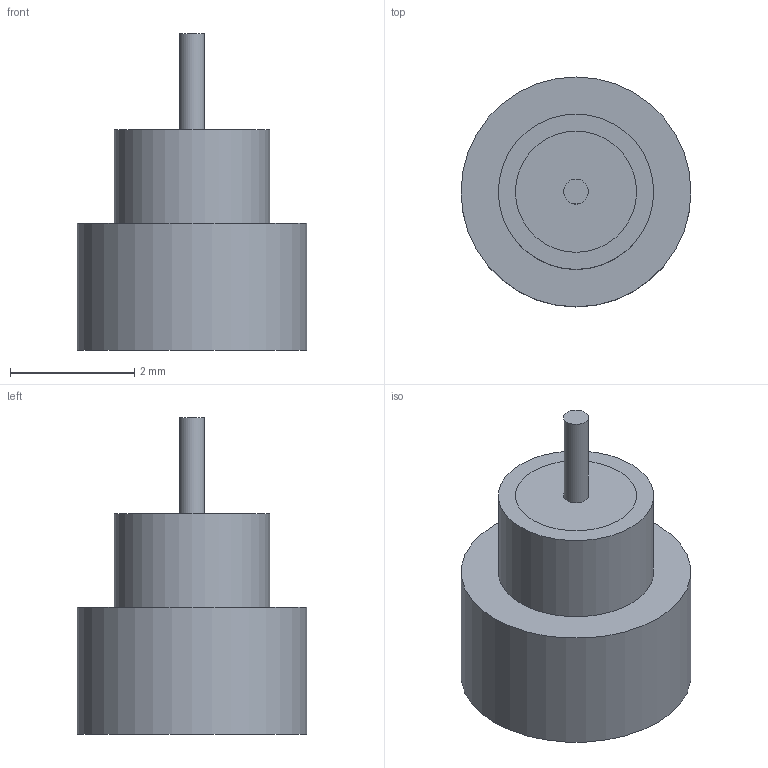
import cadquery as cq

base_diameter = 3.7
base_height = 2.05
collar_diameter = 2.5
collar_height = 1.5
core_diameter = 1.95
pin_diameter = 0.4
pin_length = 1.55

collar_bottom = base_height
collar_top = collar_bottom + collar_height


def cylinder(diameter, bottom, height):
    """Upright cylinder on the Z axis."""
    return cq.Workplane("XY").workplane(offset=bottom).circle(diameter / 2).extrude(height)


base = cylinder(base_diameter, 0, base_height)
core = cylinder(core_diameter, collar_bottom, collar_height)
sleeve = cylinder(collar_diameter, collar_bottom, collar_height).cut(core)
pin = cylinder(pin_diameter, collar_top, pin_length)

result = base.union(sleeve, clean=False).union(core, clean=False).union(pin, clean=False)